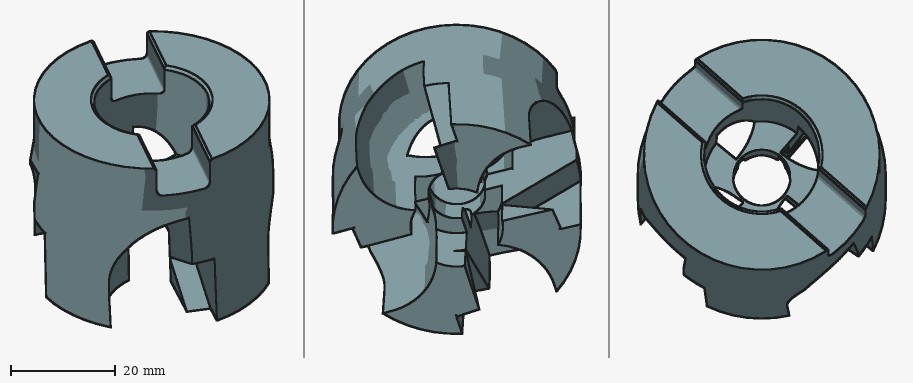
import cadquery as cq
import math


height = 37.4
overall_width = 47.3
tip_offset = 1.1
cutting_radius = math.hypot(overall_width / 2, tip_offset)
neck_radius = 22.5
cone_bottom_z = 18.85
cone_top_z = 27.45
dish_angle = math.radians(2)

bore_radius = 11.0
bore_floor_z = 17.45
bore_chamfer = 0.6
screw_hole_radius = 5.45
relief_radius = 8.8
relief_top_z = 12.45

slot_width = 10.55
slot_depth = 6.4
slot_fillet = 1.2
slot_chamfer = 0.45

pocket_count = 4
axial_rake = 2.0
radial_rake = 1.9
pocket_axis_x = 0.65
pocket_axis_z = 9.9
pocket_radius = 15.3
pocket_floor_fillet = 11.85
pocket_floor_y = -5.25

seat_thickness = 4.65
seat_apex_radius = 8.4
seat_apex_z = 6.1
seat_slope = math.tan(math.radians(30))

clearance = 28.4


def make_body():
    """Revolve the outside: dished bottom, cylinder, cone and neck."""
    dish_height = cutting_radius * math.tan(dish_angle)
    return (
        cq.Workplane("XZ")
        .moveTo(0, dish_height)
        .lineTo(cutting_radius, 0)
        .lineTo(cutting_radius, cone_bottom_z)
        .lineTo(neck_radius, cone_top_z)
        .lineTo(neck_radius, height)
        .lineTo(0, height)
        .close()
        .revolve(360, (0, 0, 0), (0, 1, 0))
    )


def make_bores():
    """Revolve the chamfered top bore, the screw hole and the bottom relief as one shape."""
    return (
        cq.Workplane("XZ")
        .moveTo(0, 0)
        .lineTo(relief_radius, 0)
        .lineTo(relief_radius, relief_top_z)
        .lineTo(screw_hole_radius, relief_top_z)
        .lineTo(screw_hole_radius, bore_floor_z)
        .lineTo(bore_radius, bore_floor_z)
        .lineTo(bore_radius, height - bore_chamfer)
        .lineTo(bore_radius + bore_chamfer, height)
        .lineTo(0, height)
        .close()
        .revolve(360, (0, 0, 0), (0, 1, 0))
    )


def make_drive_slot():
    """Slot with rounded floor corners and chamfered top edges."""
    slot = (
        cq.Workplane("XY", origin=(0, 0, height - slot_depth))
        .box(2 * clearance, slot_width, slot_depth, centered=(True, True, False))
        .edges("|X and <Z")
        .fillet(slot_fillet)
    )
    half_width = slot_width / 2
    edge_chamfers = (
        cq.Workplane("YZ", origin=(-clearance, 0, height))
        .moveTo(-half_width - slot_chamfer, 0)
        .lineTo(-half_width, -slot_chamfer)
        .lineTo(half_width, -slot_chamfer)
        .lineTo(half_width + slot_chamfer, 0)
        .close()
        .extrude(2 * clearance)
    )
    return slot.union(edge_chamfers)


def pocket_profile():
    """Half section of the pocket: flat floor running through an arc into the outer side."""
    arc_center_x = -(pocket_radius - pocket_floor_fillet)
    arc_center_y = pocket_floor_y - pocket_floor_fillet
    arc_step = pocket_floor_fillet * math.sqrt(0.5)
    return (
        cq.Workplane("XY")
        .moveTo(0, -clearance)
        .lineTo(0, pocket_floor_y)
        .lineTo(arc_center_x, pocket_floor_y)
        .threePointArc(
            (arc_center_x - arc_step, arc_center_y + arc_step),
            (-pocket_radius, arc_center_y),
        )
        .lineTo(-pocket_radius, -clearance)
        .close()
    )


def make_insert_seat():
    """Prism behind the pocket wall, opening outward from its apex as a V."""
    reach = clearance - seat_apex_radius
    rise = reach * seat_slope
    apex_z = seat_apex_z - pocket_axis_z
    return (
        cq.Workplane("YZ")
        .moveTo(-seat_apex_radius, apex_z)
        .lineTo(-clearance, apex_z + rise)
        .lineTo(-clearance, apex_z - rise)
        .close()
        .extrude(seat_thickness)
    )


def make_pocket():
    """Chip pocket and insert seat on the -Y side, set at the axial and radial rake."""
    domed_top = pocket_profile().revolve(90, (0, 0, 0), (0, 1, 0))
    straight_bottom = pocket_profile().extrude(-clearance)
    return (
        domed_top.union(straight_bottom)
        .union(make_insert_seat())
        .rotate((0, 0, 0), (0, 1, 0), -axial_rake)
        .rotate((0, 0, 0), (0, 0, 1), radial_rake)
        .translate((pocket_axis_x, 0, pocket_axis_z))
    )


result = make_body().cut(make_bores()).cut(make_drive_slot())
pocket = make_pocket()
for index in range(pocket_count):
    turn = index * 360 / pocket_count
    result = result.cut(pocket.rotate((0, 0, 0), (0, 0, 1), turn))